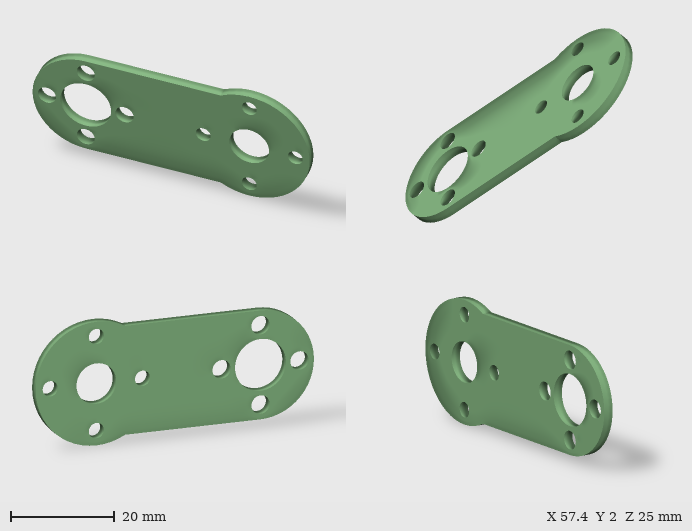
import cadquery as cq

length = 57.35
thickness = 2.0
large_end_diameter = 25.0
small_end_diameter = 22.0

small_end_bore = 10.5
small_end_bolt_hole = 3.7
small_end_bolt_circle = 16.05

large_end_bore = 8.2
large_end_bolt_hole = 3.1
large_end_bolt_circle = 19.05

bolts_per_end = 4

small_end_x = -length / 2 + small_end_diameter / 2
large_end_x = length / 2 - large_end_diameter / 2
centre_distance = large_end_x - small_end_x


def disc(x, diameter):
    """Disc of full plate thickness, with its axis along Y."""
    return (
        cq.Workplane("XZ")
        .center(x, 0)
        .circle(diameter / 2)
        .extrude(thickness / 2, both=True)
    )


def hole_pattern(x, bore, bolt_hole, bolt_circle):
    """Cutter for a central bore surrounded by a ring of bolt holes."""
    bolts = (
        cq.Workplane("XZ")
        .center(x, 0)
        .polarArray(bolt_circle / 2, 0, 360, bolts_per_end)
        .circle(bolt_hole / 2)
        .extrude(thickness / 2, both=True)
    )
    return disc(x, bore).union(bolts)


web = (
    cq.Workplane("XZ")
    .center((small_end_x + large_end_x) / 2, 0)
    .rect(centre_distance, small_end_diameter)
    .extrude(thickness / 2, both=True)
)

plate = web.union(disc(small_end_x, small_end_diameter))
plate = plate.union(disc(large_end_x, large_end_diameter))

result = plate.cut(
    hole_pattern(small_end_x, small_end_bore, small_end_bolt_hole, small_end_bolt_circle)
).cut(
    hole_pattern(large_end_x, large_end_bore, large_end_bolt_hole, large_end_bolt_circle)
)